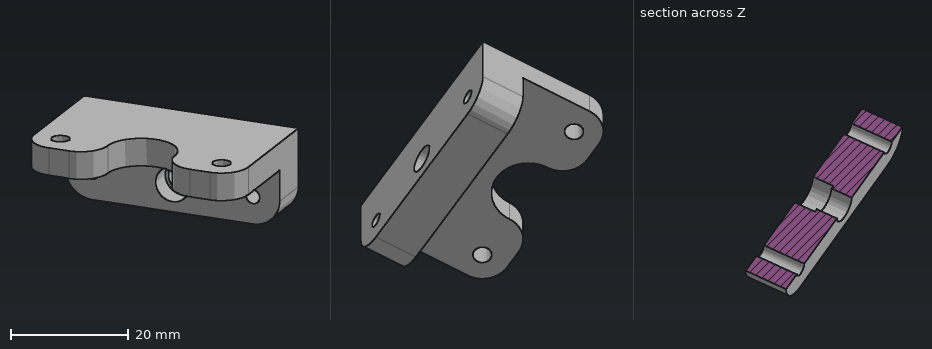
import cadquery as cq

width = 40.0
depth = 26.25
height = 15.5
plate_thickness = 5.0
leg_thickness = 8.0

corner_radius = 5.0
hole_x = width / 2 - corner_radius
plate_hole_diameter = 3.2
leg_hole_diameter = 2.5

notch_radius = 6.25
notch_shoulder_x = notch_radius + corner_radius

bore_diameter = 5.0
counterbore_diameter = 6.25
counterbore_depth = leg_thickness / 2

plate_bottom = height - plate_thickness
leg_front = depth - leg_thickness


def make_plate():
    """Top plate: front edge on y = 0, rounded corners and a notch."""
    outline = (
        cq.Workplane("XY", origin=(0, 0, plate_bottom))
        .moveTo(-width / 2, depth)
        .lineTo(-width / 2, corner_radius)
        .radiusArc((-hole_x, 0), -corner_radius)
        .lineTo(-notch_shoulder_x, 0)
        .radiusArc((-notch_radius, corner_radius), -corner_radius)
        .threePointArc((0, corner_radius + notch_radius), (notch_radius, corner_radius))
        .radiusArc((notch_shoulder_x, 0), -corner_radius)
        .lineTo(hole_x, 0)
        .radiusArc((width / 2, corner_radius), -corner_radius)
        .lineTo(width / 2, depth)
        .close()
    )
    plate = outline.extrude(plate_thickness)
    return (
        plate.faces(">Z")
        .workplane(origin=(0, 0, height))
        .pushPoints([(-hole_x, corner_radius), (hole_x, corner_radius)])
        .hole(plate_hole_diameter)
    )


def make_leg():
    """Rear leg: rounded lower corners, two screw holes and a stepped bore."""
    leg = (
        cq.Workplane("XY")
        .box(width, leg_thickness, height, centered=(True, False, False))
        .translate((0, leg_front, 0))
        .edges("|Y and <Z")
        .fillet(corner_radius)
    )
    front_face = leg.faces("<Y").workplane(origin=(0, leg_front, corner_radius))
    drilled = front_face.pushPoints([(-hole_x, 0), (hole_x, 0)]).hole(leg_hole_diameter)
    return (
        drilled.faces("<Y")
        .workplane(origin=(0, leg_front, corner_radius))
        .cboreHole(bore_diameter, counterbore_diameter, counterbore_depth)
    )


result = make_plate().union(make_leg())